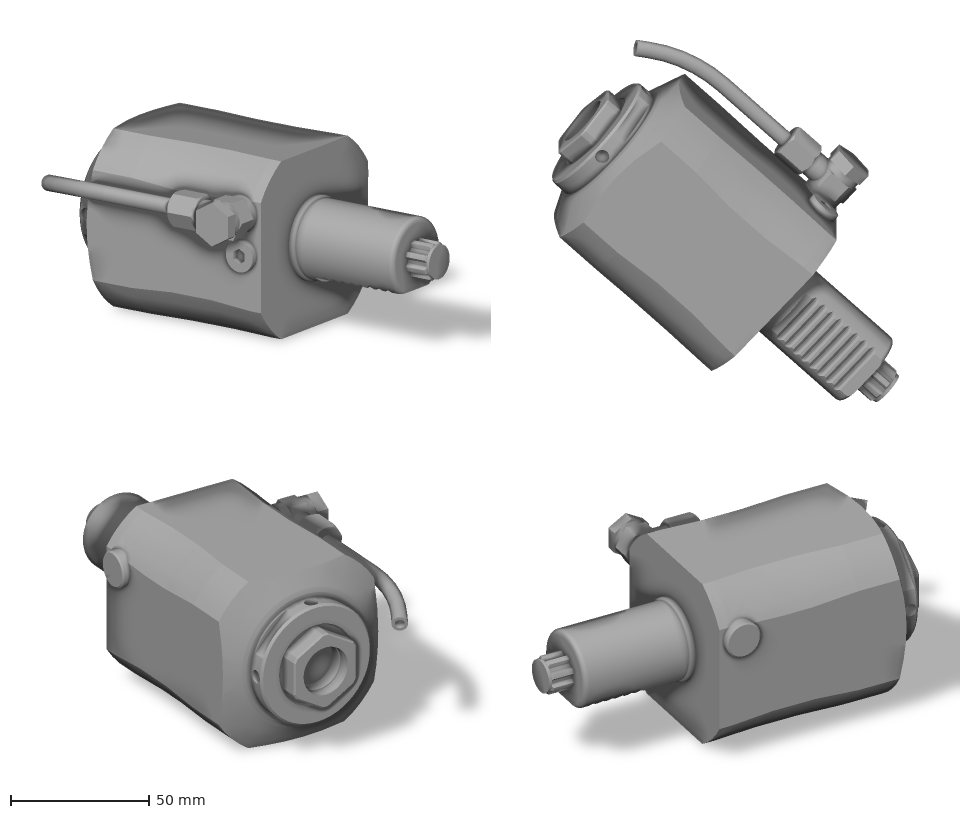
import cadquery as cq
import math


block_width = 67.0
block_length = 81.0
blank_radius = 39.4
nose_edge_length = 0.6
cone_start_x = -block_length + nose_edge_length
cone_start_radius = 27.5
cone_end_x = -74.7
nose_flat_radius = 25.6
waist_front_x = -57.5
waist_rear_x = -4.5
waist_radius = 38.6

ring_radius = 23.8
ring_front_x = -88.0
ring_chamfer_length = 0.9
ring_chamfer_depth = 0.8
ring_hole_diameter = 5.0
ring_hole_depth = 3.8
ring_hole_x = -84.5
drill_point_angle = 118.0
ring_pocket_floor = 21.6
ring_pocket_width = 5.0
ring_pocket_angle = 46.0
ring_mouth_chamfer = 0.6

shank_radius = 15.0
shank_end_x = 45.5
shank_end_fillet = 1.8
collar_radius = 16.0
collar_length = 1.2
collar_round_end_x = 2.5
shank_flat_distance = 11.8
shank_flat_start_x = 7.0
groove_count = 8
groove_pitch = 4.0
first_groove_x = 11.7
groove_depth = 1.2
groove_mouth = 2.9
groove_floor = 0.8

hex_across_flats = 27.0
hex_corner_diameter = 29.9
hex_front_x = -94.1
hex_chamfer = 0.6
head_radius = 15.5
head_recess = 1.2
head_front_x = ring_front_x + head_recess
head_rear_x = -69.0
front_bore_radius = 9.5
front_bore_depth = 4.6
inner_bore_radius = 9.0
bore_depth = 9.5
spline_radius = 7.2
spline_end_x = 54.3
spline_chamfer = 0.6
spline_gap_count = 8
spline_root = 5.7
spline_gap_floor = 1.4
spline_gap_mouth = 4.1
tip_radius = 6.5
tip_end_x = 55.5

fitting_x = -8.6
fitting_z = 15.5
side_face_y = block_width / 2
seat_depth = 4.6
fitting_width = 14.3
neck_radius = 5.7
neck_end_y = -33.9
bolt_head_front_y = -52.0
bolt_head_rear_y = -47.4
banjo_front_y = -44.6
banjo_rear_y = -37.4
pipe_y = (banjo_front_y + banjo_rear_y) / 2
nipple_radius = 5.0
nut_across_flats = 12.3
nut_front_x = -31.9
nut_rear_x = -20.0
nut_chamfer = 0.9

pipe_diameter = 6.0
pipe_bore_diameter = 3.7
bend_start_x = -62.5
bend_radius = 55.8
bend_angle = 32.0
bend_tilt = 20.0
overall_length = 153.3
pipe_tip_x = tip_end_x - overall_length

plug_radius = 7.0
plug_end_y = 36.5
plug_chamfer = 0.6
screw_x = -7.7
screw_radius = 6.0
screw_end_y = -36.2
socket_across_flats = 4.9
socket_depth = 2.3


def cylinder_x(radius, x_start, x_end):
    """Round bar on the X axis."""
    return cq.Workplane("YZ", origin=(x_start, 0, 0)).circle(radius).extrude(x_end - x_start)


def cylinder_y(radius, x, z, y_start, y_end):
    """Round bar parallel to Y."""
    return cq.Workplane("XZ", origin=(x, y_start, z)).circle(radius).extrude(y_start - y_end)


def hexagon_circle(across_flats):
    """Diameter of the circle through the corners of a hexagon."""
    return across_flats / math.cos(math.radians(30))


def hexagon_y(across_flats, x, z, y_start, y_end, turn=0):
    """Hexagonal bar parallel to Y with corners on +-X, turned about its own axis."""
    bar = cq.Workplane("XZ").polygon(6, hexagon_circle(across_flats)).extrude(y_start - y_end)
    return bar.rotate((0, 0, 0), (0, 1, 0), turn).translate((x, y_start, z))


def make_block():
    blank = (
        cq.Workplane("XY")
        .moveTo(-block_length, 0)
        .lineTo(-block_length, nose_flat_radius)
        .lineTo(cone_start_x, cone_start_radius)
        .lineTo(cone_end_x, blank_radius)
        .lineTo(waist_front_x, blank_radius)
        .threePointArc(((waist_front_x + waist_rear_x) / 2, waist_radius), (waist_rear_x, blank_radius))
        .lineTo(0, blank_radius)
        .lineTo(0, 0)
        .close()
        .revolve(360, (0, 0, 0), (1, 0, 0))
    )
    flats = cq.Workplane("XY").box(block_length, block_width, block_width).translate((-block_length / 2, 0, 0))
    return blank.intersect(flats)


def make_ring():
    ring = (
        cq.Workplane("XY")
        .moveTo(ring_front_x, 0)
        .lineTo(ring_front_x, ring_radius - ring_chamfer_depth)
        .lineTo(ring_front_x + ring_chamfer_length, ring_radius)
        .lineTo(-block_length, ring_radius)
        .lineTo(-block_length, 0)
        .close()
        .revolve(360, (0, 0, 0), (1, 0, 0))
    )
    hole_radius = ring_hole_diameter / 2
    point_z = ring_radius - ring_hole_depth
    hole = (
        cq.Workplane("XZ", origin=(ring_hole_x, 0, 0))
        .moveTo(0, point_z)
        .lineTo(hole_radius, point_z + hole_radius / math.tan(math.radians(drill_point_angle / 2)))
        .lineTo(hole_radius, ring_radius + hole_radius)
        .lineTo(0, ring_radius + hole_radius)
        .close()
        .revolve(360, (0, 0, 0), (0, 1, 0))
    )
    for quarter in range(4):
        ring = ring.cut(hole.rotate((0, 0, 0), (1, 0, 0), 90 * quarter))
    pocket = (
        cq.Workplane("XY", origin=(ring_hole_x, 0, ring_pocket_floor))
        .rect(ring_pocket_width, 2 * ring_radius)
        .extrude(ring_radius)
    )
    for half_turn in (0, 180):
        ring = ring.cut(pocket.rotate((0, 0, 0), (1, 0, 0), half_turn - ring_pocket_angle))
    return ring


def make_shank():
    shank = (
        cq.Workplane("XY")
        .moveTo(0, 0)
        .lineTo(0, collar_radius)
        .lineTo(collar_length, collar_radius)
        .tangentArcPoint((collar_round_end_x, shank_radius), relative=False)
        .lineTo(shank_end_x, shank_radius)
        .lineTo(shank_end_x, 0)
        .close()
        .revolve(360, (0, 0, 0), (1, 0, 0))
        .faces(">X")
        .edges()
        .fillet(shank_end_fillet)
    )
    outline = cq.Workplane("XZ", origin=(0, shank_radius, 0)).moveTo(shank_flat_start_x, -shank_flat_distance)
    for index in range(groove_count):
        groove_x = first_groove_x + index * groove_pitch
        outline = (
            outline.lineTo(groove_x - groove_mouth / 2, -shank_flat_distance)
            .lineTo(groove_x - groove_floor / 2, groove_depth - shank_flat_distance)
            .lineTo(groove_x + groove_floor / 2, groove_depth - shank_flat_distance)
            .lineTo(groove_x + groove_mouth / 2, -shank_flat_distance)
        )
    teeth = (
        outline.lineTo(shank_end_x, -shank_flat_distance)
        .lineTo(shank_end_x, -shank_radius)
        .lineTo(shank_flat_start_x, -shank_radius)
        .close()
        .extrude(2 * shank_radius)
    )
    return shank.cut(teeth)


def make_banjo_fitting():
    """Banjo bolt with its hexagonal banjo, nipple and union nut."""
    neck = cylinder_y(neck_radius, fitting_x, fitting_z, seat_depth - side_face_y, neck_end_y)
    bolt = cylinder_y(fitting_width / 2, fitting_x, fitting_z, neck_end_y, bolt_head_rear_y)
    head = hexagon_y(fitting_width, fitting_x, fitting_z, bolt_head_rear_y, bolt_head_front_y, turn=30)
    banjo = hexagon_y(fitting_width, fitting_x, fitting_z, banjo_rear_y, banjo_front_y)
    nipple = cylinder_x(nipple_radius, nut_rear_x, fitting_x)
    nut_corners = hexagon_circle(nut_across_flats)
    nut_length = nut_rear_x - nut_front_x
    nut = cq.Workplane("YZ", origin=(nut_front_x, 0, 0)).polygon(6, nut_corners).extrude(nut_length)
    nut = nut.intersect(cylinder_x(nut_corners / 2, nut_front_x, nut_rear_x).edges().chamfer(nut_chamfer))
    connector = nipple.union(nut).translate((0, pipe_y, fitting_z))
    return neck.union(bolt).union(head).union(banjo).union(connector)


def make_pipe():
    """Bent tube, built with its bend in the XY plane and then tilted about its straight run."""
    angle = math.radians(bend_angle)
    bend_end_x = bend_start_x - bend_radius * math.sin(angle)
    bend_end_y = bend_radius * (1 - math.cos(angle))
    tip_length = (bend_end_x - pipe_tip_x - pipe_diameter / 2 * math.sin(angle)) / math.cos(angle)
    half = angle / 2
    path = (
        cq.Workplane("XY")
        .moveTo(nut_front_x, 0)
        .lineTo(bend_start_x, 0)
        .threePointArc(
            (bend_start_x - bend_radius * math.sin(half), bend_radius * (1 - math.cos(half))),
            (bend_end_x, bend_end_y),
        )
        .lineTo(bend_end_x - tip_length * math.cos(angle), bend_end_y + tip_length * math.sin(angle))
    )
    section = cq.Workplane("YZ", origin=(nut_front_x, 0, 0))
    tube = section.circle(pipe_diameter / 2).circle(pipe_bore_diameter / 2).sweep(path)
    return tube.rotate((0, 0, 0), (1, 0, 0), -bend_tilt).translate((0, pipe_y, fitting_z))


def make_plug():
    plug = cylinder_y(plug_radius, fitting_x, fitting_z, plug_end_y, side_face_y - seat_depth)
    return plug.faces(">Y").chamfer(plug_chamfer)


def make_screw():
    screw = cylinder_y(screw_radius, screw_x, 0, seat_depth - side_face_y, screw_end_y)
    socket = hexagon_y(socket_across_flats, screw_x, 0, screw_end_y + socket_depth, screw_end_y, turn=30)
    return screw.cut(socket)


def make_spindle_bore():
    """Stepped hole that fits the spindle head and shaft, with a chamfered mouth."""
    head_hole = cylinder_x(head_radius, ring_front_x, head_rear_x)
    shaft_hole = cylinder_x(spline_radius, head_rear_x, shank_end_x)
    mouth_radius = head_radius + ring_mouth_chamfer
    mouth = cylinder_x(mouth_radius, ring_front_x, ring_front_x + 2 * ring_mouth_chamfer)
    mouth = mouth.faces(">X").chamfer(ring_mouth_chamfer)
    return head_hole.union(shaft_hole).union(mouth)


def make_housing():
    housing = make_block()
    for make_feature in (make_ring, make_shank, make_plug, make_screw, make_banjo_fitting, make_pipe):
        housing = housing.union(make_feature())
    return housing.cut(make_spindle_bore())


def make_spindle_head():
    """Round head with a hexagonal nose and a stepped blind bore."""
    nose_length = head_front_x - hex_front_x
    nose = (
        cq.Workplane("YZ", origin=(hex_front_x, 0, 0))
        .polygon(6, hexagon_circle(hex_across_flats))
        .extrude(nose_length)
        .rotate((0, 0, 0), (1, 0, 0), 30)
        .intersect(cylinder_x(hex_corner_diameter / 2, hex_front_x, head_front_x))
        .faces("<X")
        .chamfer(hex_chamfer)
    )
    head = nose.union(cylinder_x(head_radius, head_front_x, head_rear_x))
    head = head.cut(cylinder_x(front_bore_radius, hex_front_x, hex_front_x + front_bore_depth))
    return head.cut(cylinder_x(inner_bore_radius, hex_front_x, hex_front_x + bore_depth))


def make_spindle_shaft():
    """Drive shaft with straight-sided spline gaps outside the shank and a round tip."""
    shaft = cylinder_x(spline_radius, head_rear_x, spline_end_x).faces(">X").chamfer(spline_chamfer)
    gap = (
        cq.Workplane("YZ", origin=(shank_end_x, 0, 0))
        .moveTo(-spline_gap_floor / 2, spline_root)
        .lineTo(-spline_gap_mouth / 2, spline_radius)
        .lineTo(spline_gap_mouth / 2, spline_radius)
        .lineTo(spline_gap_floor / 2, spline_root)
        .close()
        .extrude(spline_end_x - shank_end_x)
    )
    for index in range(spline_gap_count):
        shaft = shaft.cut(gap.rotate((0, 0, 0), (1, 0, 0), index * 360 / spline_gap_count))
    return shaft.union(cylinder_x(tip_radius, spline_end_x, tip_end_x))


housing = make_housing()
spindle = make_spindle_head().union(make_spindle_shaft())
result = cq.Compound.makeCompound([housing.val(), spindle.val()])